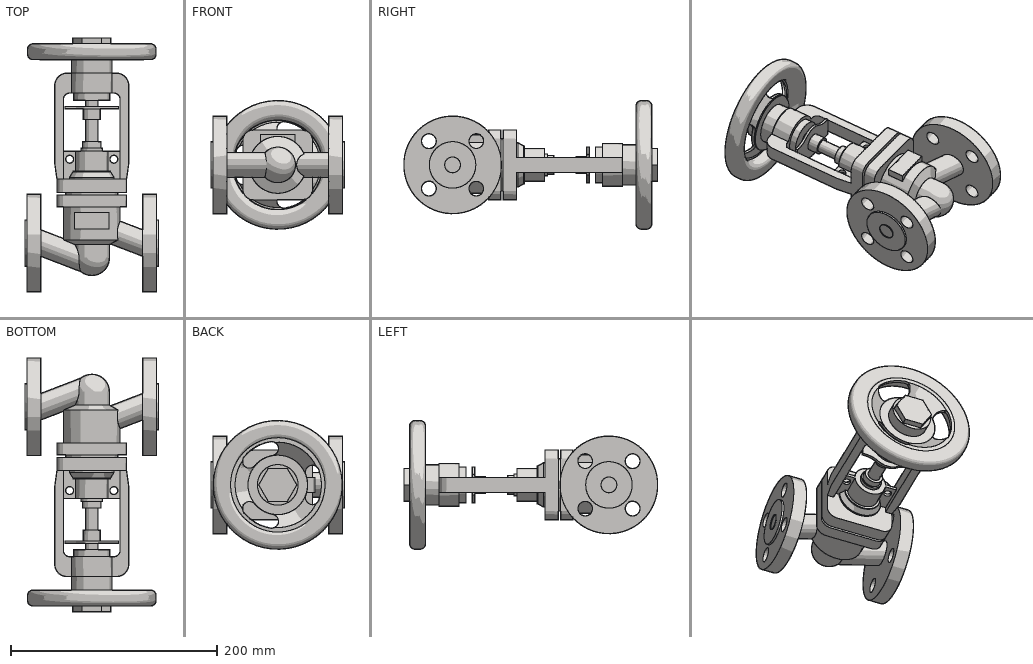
import cadquery as cq
import math


face_to_face = 130.0
flange_dia = 95.0
flange_thickness = 13.5
raised_face_dia = 45.0
raised_face_height = 2.0
bore_dia = 15.3
bore_depth = 1.0
bolt_circle_dia = 65.0
bolt_hole_dia = 14.0
bolt_count = 4
first_bolt_angle = 45

pipe_dia = 24.2
pipe_tilt = 21.0
flange_inner_x = face_to_face / 2 - raised_face_height - flange_thickness

overall_length = 246.5
stem_top = overall_length - flange_dia / 2
wheel_nut_height = 5.7
wheel_back = stem_top - wheel_nut_height
wheel_thickness = 15.5
wheel_front = wheel_back - wheel_thickness

body_radius = 27.5
neck_radius = 17.3
neck_bottom = -14.3
neck_top = -1.5
body_bottom = 3.0

clamp_side = 67.8
clamp_corner_radius = 10.4
body_clamp_bottom = 35.0
body_clamp_top = 46.8
bonnet_clamp_bottom = 49.0
bonnet_clamp_top = 62.0
gasket_radius = 25.5

pad_width = 33.5
pad_bottom = 13.5
pad_top = 29.8
pad_height = 29.3

bonnet_foot_radius = 21.7
bonnet_foot_top = 63.5
bonnet_rim_radius = 18.5
bonnet_rim_bottom = 69.0
bonnet_rim_top = 70.0
tower_radius = 16.0
tower_top = 89.2
gland_base_radius = 10.5
gland_base_top = 92.2
gland_radius = 9.0
gland_top = 98.4

stem_radius = 6.2
stem_nut_radius = 8.5
stem_nut_bottom = 119.8
plate_bottom = 130.2
plate_thickness = 2.5
plate_length = 52.3
plate_end_width = 19.7
plate_disc_radius = 17.5
plate_blend_radius = 21.0

yoke_width = 72.0
yoke_inner_width = 54.7
yoke_thickness = 14.8
yoke_top = 165.0
yoke_window_top = 145.5
yoke_outer_radius = 12.0
yoke_inner_radius = 6.0
yoke_taper_start = 77.2
web_thickness = 3.0
web_hole_dia = 7.5
web_hole_x = 21.5
web_hole_y = 81.3

head_radius = 21.0
head_ring_radius = 17.5
head_ring_bottom = 138.5
hub_radius = 19.7

wheel_dia = 125.0
wheel_radius = wheel_dia / 2
rim_width = 19.2
rim_round_height = 6.2
rim_outer_round = 4.7
rim_inner_round = 7.5
dish_inner_radius = 28.8
dish_outer_radius = 41.5
dish_lip = 1.2
dish_rise = 11.0
dish_thickness = 3.0
window_radius = 35.7
window_width = 13.3
window_half_angle = 31.0
window_count = 3
first_window_angle = 60
nut_corner_dia = 37.0


def turned(points):
    """Solid of revolution about the stem axis from (radius, y) points."""
    return cq.Workplane("XY").polyline(points).close().revolve(360, (0, 0), (0, 1))


def disc(radius, bottom, top):
    """Cylinder on the stem axis between two levels."""
    return turned([(0, bottom), (radius, bottom), (radius, top), (0, top)])


def at_level(y):
    """Sketch plane across the stem with local x along X and local y along Z, facing -Y."""
    return cq.Workplane("XZ", origin=(0, y, 0))


def pipe_flange(side):
    """Drilled flange with raised face; side is -1 or +1 along X."""
    plane = cq.Workplane("YZ", origin=(flange_inner_x, 0, 0))
    flange = plane.circle(flange_dia / 2).extrude(flange_thickness)
    flange = flange.faces(">X").workplane().circle(raised_face_dia / 2).extrude(raised_face_height)
    flange = flange.faces(">X").workplane().hole(bore_dia, bore_depth)
    bolts = (
        plane.polarArray(bolt_circle_dia / 2, first_bolt_angle, 360, bolt_count)
        .circle(bolt_hole_dia / 2)
        .extrude(flange_thickness)
    )
    flange = flange.cut(bolts)
    if side < 0:
        flange = flange.mirror("YZ")
    return flange


def pipe_branch(side):
    """Inclined pipe from inside the body to the inner flange face."""
    tilt = math.radians(pipe_tilt)
    rise = flange_inner_x * math.tan(tilt)
    direction = (side * math.cos(tilt), -side * math.sin(tilt), 0)
    axis = cq.Plane(origin=(0, side * rise, 0), xDir=(0, 0, 1), normal=direction)
    run = (flange_inner_x + flange_thickness) / math.cos(tilt)
    pipe = cq.Workplane(axis).circle(pipe_dia / 2).extrude(run)
    keep = cq.Workplane("XY").box(2 * flange_inner_x, overall_length, flange_dia)
    return pipe.intersect(keep)


def body():
    """Round body with a domed end and a flat pad on top."""
    dome_middle = neck_radius * math.sqrt(0.5)
    shell = (
        cq.Workplane("XY")
        .moveTo(0, neck_bottom - neck_radius)
        .threePointArc((dome_middle, neck_bottom - dome_middle), (neck_radius, neck_bottom))
        .lineTo(neck_radius, neck_top)
        .lineTo(body_radius, body_bottom)
        .lineTo(body_radius, body_clamp_bottom)
        .lineTo(0, body_clamp_bottom)
        .close()
        .revolve(360, (0, 0), (0, 1))
    )
    pad = cq.Workplane("XY").box(
        pad_width, pad_top - pad_bottom, pad_height, centered=(True, False, False)
    ).translate((0, pad_bottom, 0))
    return shell.union(pad)


def clamp_flange(bottom, top):
    """Square flange with rounded corners."""
    flange = at_level(top).rect(clamp_side, clamp_side).extrude(top - bottom)
    return flange.edges("|Y").fillet(clamp_corner_radius)


def bonnet_tower():
    """Conical bonnet foot, tower and stepped gland."""
    return turned([
        (0, bonnet_clamp_top),
        (bonnet_foot_radius, bonnet_clamp_top),
        (bonnet_foot_radius, bonnet_foot_top),
        (bonnet_rim_radius, bonnet_rim_bottom),
        (bonnet_rim_radius, bonnet_rim_top),
        (tower_radius, bonnet_rim_top),
        (tower_radius, tower_top),
        (gland_base_radius, tower_top),
        (gland_base_radius, gland_base_top),
        (gland_radius, gland_base_top),
        (gland_radius, gland_top),
        (0, gland_top),
    ])


def yoke():
    """Arched yoke with tapered feet and a thin drilled web between them."""
    frame = (
        cq.Workplane("XY")
        .polyline([
            (-clamp_side / 2, bonnet_clamp_top),
            (-yoke_width / 2, yoke_taper_start),
            (-yoke_width / 2, yoke_top),
            (yoke_width / 2, yoke_top),
            (yoke_width / 2, yoke_taper_start),
            (clamp_side / 2, bonnet_clamp_top),
        ])
        .close()
        .extrude(yoke_thickness / 2, both=True)
        .edges("|Z and >Y")
        .fillet(yoke_outer_radius)
    )
    window_height = yoke_window_top - bonnet_clamp_top
    window = (
        cq.Workplane("XY", origin=(0, bonnet_clamp_top + window_height / 2, 0))
        .box(yoke_inner_width, window_height, yoke_thickness)
        .edges("|Z and >Y")
        .fillet(yoke_inner_radius)
    )
    web_height = tower_top - bonnet_clamp_top
    web = (
        cq.Workplane("XY", origin=(0, bonnet_clamp_top + web_height / 2, 0))
        .box(yoke_inner_width, web_height, web_thickness)
    )
    holes = (
        cq.Workplane("XY")
        .pushPoints([(-web_hole_x, web_hole_y), (web_hole_x, web_hole_y)])
        .circle(web_hole_dia / 2)
        .extrude(web_thickness, both=True)
    )
    return frame.cut(window).union(web.cut(holes))


def position_plate():
    """Disc blended into a narrower cross strip."""
    plane = at_level(plate_bottom + plate_thickness)
    plate = plane.rect(plate_length, plate_end_width).extrude(plate_thickness)
    plate = plate.union(plane.circle(plate_disc_radius).extrude(plate_thickness))
    reach = math.sqrt(plate_disc_radius**2 - (plate_end_width / 2) ** 2)
    limit = (reach + plate_length / 2) / 2
    inner_corners = cq.selectors.BoxSelector(
        (-limit, plate_bottom, -plate_end_width),
        (limit, plate_bottom + plate_thickness, plate_end_width),
    )
    return plate.edges("|Y").edges(inner_corners).fillet(plate_blend_radius)


def handwheel():
    """Rounded rim, dished web with windows and central hub."""
    rim_inner = wheel_radius - rim_width
    rim_middle = wheel_back - wheel_thickness / 2
    outer_centre = wheel_radius - rim_outer_round
    inner_centre = rim_inner + rim_inner_round
    flat = wheel_thickness / 2 - rim_round_height
    slant = math.sqrt(0.5)
    shoulder = flat + rim_round_height * slant
    outer_shoulder = outer_centre + rim_outer_round * slant
    inner_shoulder = inner_centre - rim_inner_round * slant
    rim = (
        cq.Workplane("XY", origin=(0, rim_middle, 0))
        .moveTo(wheel_radius, -flat)
        .lineTo(wheel_radius, flat)
        .threePointArc((outer_shoulder, shoulder), (outer_centre, wheel_thickness / 2))
        .lineTo(inner_centre, wheel_thickness / 2)
        .threePointArc((inner_shoulder, shoulder), (rim_inner, flat))
        .lineTo(rim_inner, -flat)
        .threePointArc((inner_shoulder, -shoulder), (inner_centre, -wheel_thickness / 2))
        .lineTo(outer_centre, -wheel_thickness / 2)
        .threePointArc((outer_shoulder, -shoulder), (wheel_radius, -flat))
        .close()
        .revolve(360, (0, 0), (0, 1))
    )
    dish_front = wheel_front + dish_rise
    hub_back = wheel_front + dish_lip + dish_thickness
    dish = turned([
        (0, wheel_front),
        (dish_inner_radius, wheel_front),
        (dish_inner_radius, wheel_front + dish_lip),
        (dish_outer_radius, dish_front),
        (inner_centre, dish_front),
        (inner_centre, dish_front + dish_thickness),
        (dish_outer_radius, dish_front + dish_thickness),
        (dish_inner_radius, hub_back),
        (0, hub_back),
    ])
    for index in range(window_count):
        dish = dish.cut(wheel_window(first_window_angle + index * 360 / window_count))
    return rim.union(dish).union(disc(hub_radius, wheel_front, wheel_back))


def wheel_window(angle):
    """Cutter for one curved slot with round ends, centred at the given angle."""
    end_radius = window_width / 2
    end_angle = window_half_angle - math.degrees(end_radius / window_radius)

    def point(radius, offset):
        turn = math.radians(angle + offset)
        return (radius * math.cos(turn), radius * math.sin(turn))

    inner = window_radius - end_radius
    outer = window_radius + end_radius
    return (
        at_level(wheel_back)
        .moveTo(*point(inner, -end_angle))
        .threePointArc(point(inner, 0), point(inner, end_angle))
        .threePointArc(point(window_radius, window_half_angle), point(outer, end_angle))
        .threePointArc(point(outer, 0), point(outer, -end_angle))
        .threePointArc(point(window_radius, -window_half_angle), point(inner, -end_angle))
        .close()
        .extrude(wheel_thickness)
    )


result = body()
for side in (-1, 1):
    result = result.union(pipe_branch(side)).union(pipe_flange(side))
result = (
    result
    .union(clamp_flange(body_clamp_bottom, body_clamp_top))
    .union(disc(gasket_radius, body_clamp_top, bonnet_clamp_bottom))
    .union(clamp_flange(bonnet_clamp_bottom, bonnet_clamp_top))
    .union(yoke())
    .union(bonnet_tower())
    .union(disc(stem_radius, gland_top, head_ring_bottom))
    .union(disc(stem_nut_radius, stem_nut_bottom, plate_bottom))
    .union(position_plate())
    .union(disc(head_ring_radius, head_ring_bottom, yoke_window_top))
    .union(disc(head_radius, yoke_window_top, yoke_top))
    .union(disc(hub_radius, yoke_top, wheel_front))
    .union(handwheel())
    .union(at_level(stem_top).polygon(6, nut_corner_dia).extrude(wheel_nut_height))
)